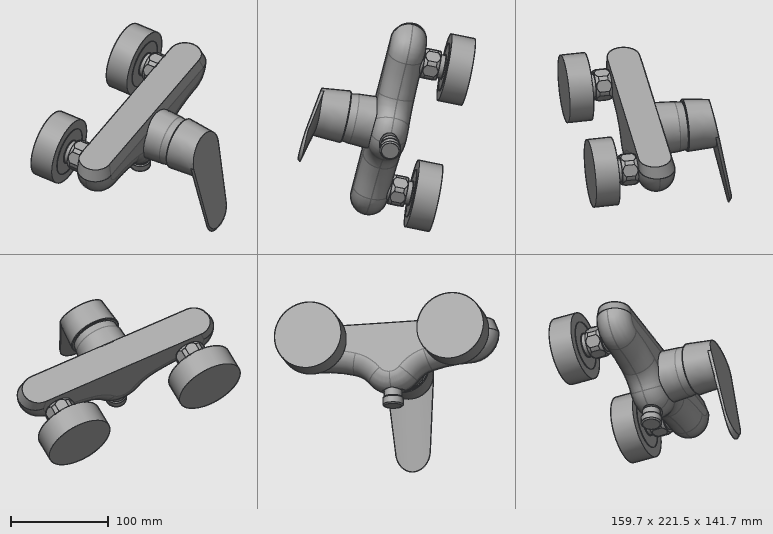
import cadquery as cq
import math


INLET_SPACING = 150.0
ESCUTCHEON_DIA = 70.0
ESCUTCHEON_DEPTH = 24.8
RING_DIA = 50.0
COLLAR_DIA = 25.7
STEP_DEPTH = 0.7
PIPE_DIA = 24.1
NUT_FLATS = 30.1
NUT_CORNER_DIA = 32.3
NUT_END_DIA = 29.7
NUT_LENGTH = 16.5
NUT_BEVEL = 3.5

BODY_LENGTH = 221.5
BODY_BACK_X = 47.8
BODY_WIDTH = 37.0
BODY_TOP_Z = 22.0
BODY_RIM_Z = 10.0
TOP_FACE_LENGTH = 212.1
TOP_FACE_WIDTH = 33.7
END_RADIUS = 30.5
SHOULDER_Y = 40.7
SHOULDER_Z = -26.1
BULGE_RADIUS = 31.7
BULGE_BOTTOM_Z = -48.7
UNDERSIDE_ROUND = 18.4

OUTLET_TOP_Z = -46.3
OUTLET_NECK_DIA = 18.5
OUTLET_COLLAR_DIA = 21.0
OUTLET_COLLAR_TOP_Z = -53.0
OUTLET_BOTTOM_Z = -62.5
OUTLET_TIP_DIA = 18.0
OUTLET_BEVEL = 1.3

CARTRIDGE_Z = -7.8
CARTRIDGE_START_X = 78.8
CARTRIDGE_STEP_X = 103.2
CARTRIDGE_END_X = 114.0
CARTRIDGE_START_DIA = 54.5
CARTRIDGE_STEP_DIA = 51.5
CARTRIDGE_END_DIA = 48.0

HUB_START_X = 111.4
HUB_START_Z = -7.3
HUB_DIA = 54.3
HUB_TILT = 2.4
HUB_TAPER = 4.8
HUB_LENGTH = 44.3
HUB_OVERRUN = 4.5
HUB_BEVEL = 0.9
FACE_SLOPE = 10.0
FACE_TIP_X = 159.7
FACE_TIP_Z = -100.8
LEVER_ROOT_Z = 0.0
LEVER_ROOT_HALF_WIDTH = 25.2
LEVER_TOP_Z = -8.9
LEVER_ARC_Z = -82.8
LEVER_ARC_HALF_WIDTH = 18.2
LEVER_WALL_ANGLE = 61.0
LEVER_WALL_LENGTH = 22.1
LEVER_TOP_THICKNESS = 7.8
LEVER_TIP_THICKNESS = 4.5
LEVER_BACK_RADIUS = 75.3

BODY_MID_X = BODY_BACK_X + BODY_WIDTH / 2
TOP_FACE_MID_X = BODY_BACK_X + TOP_FACE_WIDTH / 2


def x_cylinder(x_start, x_end, diameter):
    """Cylinder along X, centred on the X axis."""
    return cq.Workplane("YZ", origin=(x_start, 0, 0)).circle(diameter / 2).extrude(x_end - x_start)


def make_nut():
    """Hexagon with turned-down corners and a shallow cone at each end."""
    start = BODY_BACK_X - NUT_LENGTH
    hexagon = (
        cq.Workplane("YZ", origin=(start, 0, 0))
        .polygon(6, NUT_FLATS / math.cos(math.pi / 6))
        .extrude(NUT_LENGTH)
    )
    turned_outline = (
        cq.Workplane("XY")
        .moveTo(start, 0)
        .lineTo(start, NUT_END_DIA / 2)
        .lineTo(start + NUT_BEVEL, NUT_CORNER_DIA / 2)
        .lineTo(BODY_BACK_X - NUT_BEVEL, NUT_CORNER_DIA / 2)
        .lineTo(BODY_BACK_X, NUT_END_DIA / 2)
        .lineTo(BODY_BACK_X, 0)
        .close()
    )
    return hexagon.intersect(turned_outline.revolve(360, (0, 0, 0), (1, 0, 0)))


def make_inlet():
    """Wall connection on the X axis, its pipe rooted inside the body."""
    ring_x = ESCUTCHEON_DEPTH + STEP_DEPTH
    collar_x = ring_x + STEP_DEPTH
    inlet = x_cylinder(0, ESCUTCHEON_DEPTH, ESCUTCHEON_DIA)
    inlet = inlet.union(x_cylinder(ESCUTCHEON_DEPTH, ring_x, RING_DIA))
    inlet = inlet.union(x_cylinder(ring_x, collar_x, COLLAR_DIA))
    inlet = inlet.union(x_cylinder(collar_x, BODY_MID_X, PIPE_DIA))
    return inlet.union(make_nut())


def make_body_top():
    """Bar top: narrows toward its top face, with the back kept upright."""
    return (
        cq.Workplane("XY", origin=(BODY_MID_X, 0, BODY_RIM_Z))
        .slot2D(BODY_LENGTH, BODY_WIDTH, 90)
        .workplane(offset=BODY_TOP_Z - BODY_RIM_Z)
        .center(TOP_FACE_MID_X - BODY_MID_X, 0)
        .slot2D(TOP_FACE_LENGTH, TOP_FACE_WIDTH, 90)
        .loft(ruled=True)
    )


def make_body_underside():
    """Bar underside: one half is extruded across the body, fully rounded below, then mirrored."""
    half_length = BODY_LENGTH / 2
    end_foot = cq.Vector(half_length - END_RADIUS, BODY_RIM_Z - END_RADIUS)
    shoulder = cq.Vector(SHOULDER_Y, SHOULDER_Z)
    bulge_center = cq.Vector(0, BULGE_BOTTOM_Z + BULGE_RADIUS)
    end_diagonal = END_RADIUS * math.sqrt(0.5)
    end_middle = (end_foot.x + end_diagonal, BODY_RIM_Z - end_diagonal)

    arm = shoulder - end_foot
    shoulder_slope = 2 * math.atan2(arm.y, -arm.x)
    outward_normal = cq.Vector(math.sin(-shoulder_slope), -math.cos(shoulder_slope))

    offset = shoulder - bulge_center
    excess = offset.dot(offset) - BULGE_RADIUS**2
    hollow_radius = excess / (2 * (BULGE_RADIUS - outward_normal.dot(offset)))
    hollow_center = shoulder + outward_normal * hollow_radius
    bulge_edge = bulge_center + (hollow_center - bulge_center).normalized() * BULGE_RADIUS

    half = (
        cq.Workplane("YZ", origin=(BODY_BACK_X, 0, 0))
        .moveTo(0, BODY_RIM_Z)
        .lineTo(half_length, BODY_RIM_Z)
        .threePointArc(end_middle, (end_foot.x, end_foot.y))
        .tangentArcPoint((shoulder.x, shoulder.y), relative=False)
        .tangentArcPoint((bulge_edge.x, bulge_edge.y), relative=False)
        .tangentArcPoint((0, BULGE_BOTTOM_Z), relative=False)
        .close()
        .extrude(BODY_WIDTH)
    )
    half = half.faces("<X or >X").edges("%CIRCLE").fillet(UNDERSIDE_ROUND)
    return half.union(half.mirror("XZ"))


def make_outlet():
    """Necked spout with a bevelled collar, rooted inside the bulge."""
    neck_radius = OUTLET_NECK_DIA / 2
    collar_radius = OUTLET_COLLAR_DIA / 2
    return (
        cq.Workplane("XZ", origin=(TOP_FACE_MID_X, 0, 0))
        .moveTo(0, CARTRIDGE_Z)
        .lineTo(neck_radius, CARTRIDGE_Z)
        .lineTo(neck_radius, OUTLET_COLLAR_TOP_Z)
        .lineTo(collar_radius, OUTLET_COLLAR_TOP_Z - OUTLET_BEVEL)
        .lineTo(collar_radius, OUTLET_BOTTOM_Z + OUTLET_BEVEL)
        .lineTo(OUTLET_TIP_DIA / 2, OUTLET_BOTTOM_Z)
        .lineTo(0, OUTLET_BOTTOM_Z)
        .close()
        .revolve(360, (0, 0, 0), (0, 1, 0))
    )


def make_cartridge():
    """Two stacked cones along X, the outer one steeper."""
    return (
        cq.Workplane("XY", origin=(0, 0, CARTRIDGE_Z))
        .moveTo(CARTRIDGE_START_X, 0)
        .lineTo(CARTRIDGE_START_X, CARTRIDGE_START_DIA / 2)
        .lineTo(CARTRIDGE_STEP_X, CARTRIDGE_STEP_DIA / 2)
        .lineTo(CARTRIDGE_END_X, CARTRIDGE_END_DIA / 2)
        .lineTo(CARTRIDGE_END_X, 0)
        .close()
        .revolve(360, (0, 0, 0), (1, 0, 0))
    )


def face_x(z):
    """X of the sloping handle face at height z."""
    return FACE_TIP_X - (z - FACE_TIP_Z) * math.tan(math.radians(FACE_SLOPE))


def make_hub():
    """Tilted cone, cut upright and bevelled at the back and cut along the handle face in front."""
    tilt = math.radians(HUB_TILT)
    axis = (math.cos(tilt), 0, -math.sin(tilt))
    start = cq.Plane(origin=(HUB_START_X, 0, HUB_START_Z), xDir=(0, 1, 0), normal=axis)
    cone = (
        cq.Workplane(start)
        .workplane(offset=-HUB_OVERRUN)
        .circle(HUB_DIA / 2 + HUB_OVERRUN * math.tan(math.radians(HUB_TAPER)))
        .extrude(HUB_LENGTH + HUB_OVERRUN, taper=HUB_TAPER)
    )
    top_z = HUB_START_Z + HUB_DIA
    bottom_z = HUB_START_Z - HUB_DIA
    kept_outline = [
        (HUB_START_X, top_z),
        (face_x(top_z), top_z),
        (face_x(bottom_z), bottom_z),
        (HUB_START_X, bottom_z),
    ]
    kept = cq.Workplane("XZ").polyline(kept_outline).close().extrude(HUB_DIA, both=True)
    return cone.intersect(kept).faces("<X").chamfer(HUB_BEVEL)


def make_lever():
    """Tapered tongue with a flat sloping face, a bowed back and a slanted round tip."""
    slope = math.radians(FACE_SLOPE)
    face_normal = cq.Vector(math.cos(slope), 0, math.sin(slope))
    tip = cq.Vector(FACE_TIP_X, 0, FACE_TIP_Z)
    face_plane = cq.Plane(origin=tip.toTuple(), xDir=(0, 1, 0), normal=face_normal.toTuple())

    root = (LEVER_ROOT_Z - FACE_TIP_Z) / math.cos(slope)
    arc_start = (LEVER_ARC_Z - FACE_TIP_Z) / math.cos(slope)
    outline = (
        cq.Workplane(face_plane)
        .moveTo(-LEVER_ROOT_HALF_WIDTH, root)
        .lineTo(LEVER_ROOT_HALF_WIDTH, root)
        .lineTo(LEVER_ARC_HALF_WIDTH, arc_start)
        .threePointArc((0, 0), (-LEVER_ARC_HALF_WIDTH, arc_start))
        .close()
        .wire()
        .val()
    )
    lean = math.radians(LEVER_WALL_ANGLE)
    wall = cq.Vector(-math.cos(lean), 0, -math.sin(lean)) * LEVER_WALL_LENGTH
    tongue = cq.Workplane(cq.Solid.extrudeLinear(outline, [], wall))

    back_top = cq.Vector(face_x(LEVER_TOP_Z) - LEVER_TOP_THICKNESS, 0, LEVER_TOP_Z)
    back_tip = cq.Vector(FACE_TIP_X - LEVER_TIP_THICKNESS, 0, FACE_TIP_Z)
    run = back_tip - back_top
    to_axis = cq.Vector(-run.z, 0, run.x).normalized() * LEVER_BACK_RADIUS
    axis_top = back_top + to_axis
    back_plane = cq.Plane(origin=axis_top.toTuple(), xDir=(0, 1, 0), normal=run.toTuple())
    back_cylinder = (
        cq.Workplane(back_plane)
        .workplane(offset=-LEVER_BACK_RADIUS)
        .circle(LEVER_BACK_RADIUS)
        .extrude(run.Length + 2 * LEVER_BACK_RADIUS)
    )
    below_top = (
        cq.Workplane("XY", origin=(FACE_TIP_X, 0, LEVER_TOP_Z))
        .rect(BODY_LENGTH, BODY_LENGTH)
        .extrude(-BODY_LENGTH)
    )
    return tongue.intersect(back_cylinder).intersect(below_top)


body = make_body_top().union(make_body_underside())
below_outlet = (
    cq.Workplane("XY", origin=(BODY_MID_X, 0, OUTLET_TOP_Z))
    .rect(BODY_LENGTH, BODY_LENGTH)
    .extrude(OUTLET_BOTTOM_Z - OUTLET_TOP_Z)
)
result = body.cut(below_outlet)
for side in (-1, 1):
    result = result.union(make_inlet().translate((0, side * INLET_SPACING / 2, 0)))
for feature in (make_outlet(), make_cartridge(), make_hub(), make_lever()):
    result = result.union(feature)